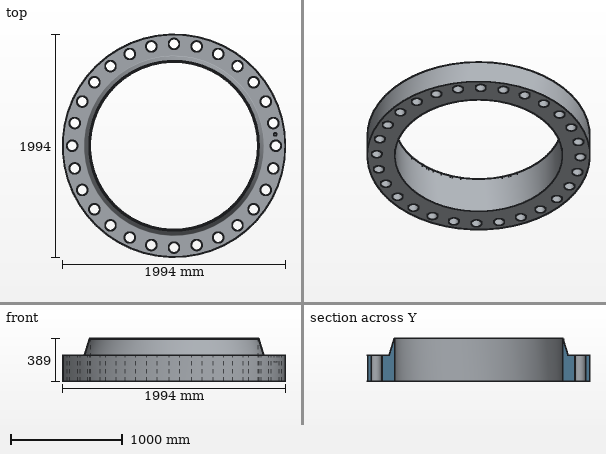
import cadquery as cq
import math

flange_radius = 997.0
flange_height = 235.0
bore_radius = 750.0

total_height = 389.0
hub_base_radius = 803.0
root_fillet_radius = 5.0
neck_radius = 761.0
neck_height = 5.0
bevel_height = 12.0
weld_land_width = 2.0

bolt_count = 28
bolt_circle_radius = 910.0
bolt_hole_diameter = 94.0

small_hole_diameter = 25.0
small_hole_depth = 60.0

pitch_angle = 360.0 / bolt_count


def ring_with_hub():
    """Revolve the flange and hub section about Z, with the flange underside at Z = 0."""
    neck_top = total_height - bevel_height
    neck_bottom = neck_top - neck_height
    ring = (
        cq.Workplane("XZ")
        .moveTo(bore_radius, 0)
        .lineTo(flange_radius, 0)
        .lineTo(flange_radius, flange_height)
        .lineTo(hub_base_radius, flange_height)
        .lineTo(neck_radius, neck_bottom)
        .lineTo(neck_radius, neck_top)
        .lineTo(bore_radius + weld_land_width, total_height)
        .lineTo(bore_radius, total_height)
        .close()
        .revolve(360, (0, 0, 0), (0, 1, 0))
    )
    hub_root_edge = cq.selectors.RadiusNthSelector(-2)
    return ring.edges(hub_root_edge).fillet(root_fillet_radius)


def bolt_holes():
    """Cutters for the through holes evenly spaced on the bolt circle."""
    return (
        cq.Workplane("XY")
        .polarArray(bolt_circle_radius, 0, 360, bolt_count)
        .circle(bolt_hole_diameter / 2)
        .extrude(flange_height)
    )


def small_hole():
    """Cutter for the blind hole in the flange top, half a pitch from the +X bolt hole."""
    angle = math.radians(pitch_angle / 2)
    center = (bolt_circle_radius * math.cos(angle), bolt_circle_radius * math.sin(angle))
    return (
        cq.Workplane("XY")
        .workplane(offset=flange_height)
        .center(*center)
        .circle(small_hole_diameter / 2)
        .extrude(-small_hole_depth)
    )


result = ring_with_hub().cut(bolt_holes()).cut(small_hole())